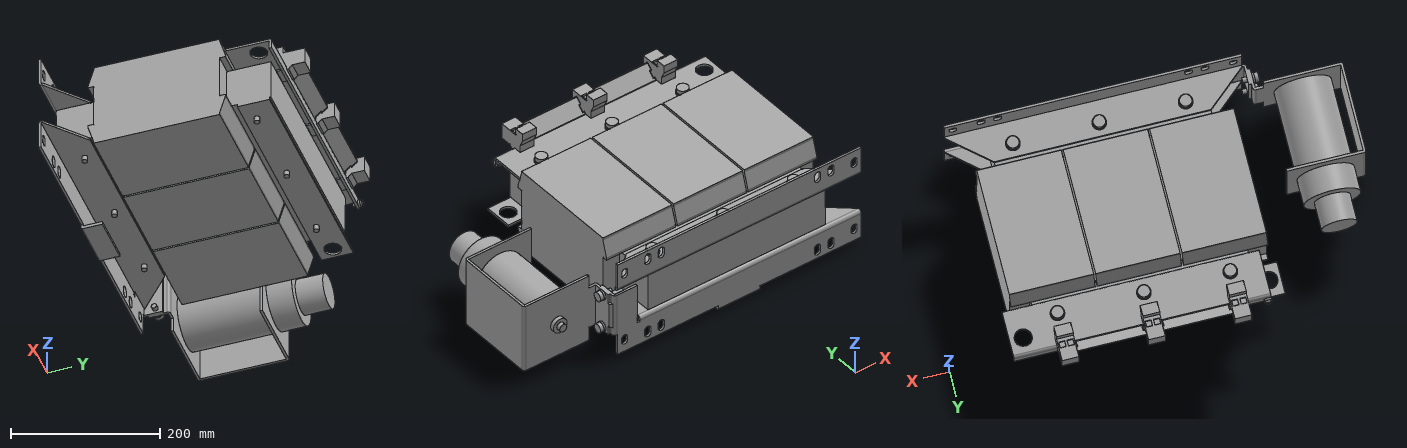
import cadquery as cq


mid_x = 337.0
core_length = 300.0
core_half = 31.0
core_front = 5.5
core_depth = 305.5
yoke_depth = 63.0
window_front = core_front + yoke_depth
window_back = core_front + core_depth - yoke_depth
coil_pitch = 119.5
coil_width = 117.0
coil_half = 66.5
coil_overhang = 8.0
coil_overhang_z = 33.0
coil_lip = 3.0

sheet = 4.0
bend = 5.5
plate_top = core_half + sheet
clamp_left = 131.5
clamp_right = 543.5
clamp_top = 77.0
clamp_bottom = -77.0
clamp_depth = 54.0

arm_width = 33.0
arm_top = 25.5
arm_bottom = -43.0
flange_x = 125.0
flange_depth = 30.0
relief_width = 5.0
relief_depth = 7.5

end_slot_inset = 12.0
end_slot_z = 57.0
end_slot_size = (15.0, 10.0)
inner_slot_offsets = (132.0, 155.0)
inner_slot_z = 62.5
inner_slot_size = (17.5, 10.5)

foot_width = 70.5
foot_depth = 30.5
foot_bottom = -84.0
foot_sheet = 5.0

rear_left = 172.5
rear_right = 528.5
rear_front = 260.5
rear_back = 326.5
rear_sheet = 4.0
lip_bottom = 18.5
lift_hole_radius = 12.0
lift_hole = (509.0, 301.5)
ear_left = 148.5
ear_front = 263.0
ear_back = 308.5
ear_hole = (165.0, 285.5)

front_bolt_y = 35.5
rear_bolt_y = 280.5
washer_radius = 10.0
washer_height = 2.5
head_radius = 8.5
head_height = 6.5
stud_radius = 4.0
stud_length = 7.5

bracket_sheet = 4.0
bracket_front = 35.5
bracket_back = 166.0
bracket_right = 110.5
bracket_top = 46.0
bracket_bottom = -64.5
tab_x = 121.0
tab_front = 8.0
tongue_top = 11.0
tongue_bottom = -29.0
cap_x = 56.5
cap_z = (bracket_top + bracket_bottom) / 2
cap_radius = 39.5
cap_back = 202.0
neck_radius = 25.0
neck_back = 241.5
cap_nut_radius = 11.5
cap_nut_height = 6.5
cap_stud_radius = 6.0
cap_stud_length = 13.0

tab_screw_y = 20.0
tab_screw_zs = (18.5, -36.0)
tab_screw_washer = (7.5, 2.5)
tab_screw_head = (7.0, 8.5)
tab_screw_shank = (4.0, 6.5)
earth_screw_x = 177.0
earth_screw_z = 24.0
earth_screw_washer = (5.5, 2.5)
earth_screw_head = (4.5, 5.5)
earth_screw_stud = (2.0, 7.0)
earth_screw_shank = (2.5, 5.0)

terminal_width = 23.5
terminal_back = 353.0
terminal_step = 322.0
terminal_front = 306.5
terminal_foot = 312.0
terminal_top = 69.5
shelf_z = 58.5
undercut_top = 57.5
undercut_bottom = 46.0
foot_z = 28.0
hook_back = 329.5
hook_slope = 5.5
pocket_size = 8.0
pocket_spacing = 11.5
pocket_y = 330.5
pocket_depth = 3.0
strip_back = 343.0
strip_top = 53.0
strip_sheet = 1.5
notch_width = 2.5
notch_length = 8.0


def box(x, y, z):
    """Box between the given (low, high) limits on each axis."""
    size = (x[1] - x[0], y[1] - y[0], z[1] - z[0])
    return cq.Workplane("XY").box(*size, centered=False).translate((x[0], y[0], z[0]))


def rod(start, direction, radius, length):
    """Cylinder from a start point along a direction."""
    return cq.Workplane(cq.Solid.makeCylinder(radius, length, cq.Vector(*start), cq.Vector(*direction)))


def profile_along_x(points, x):
    """Prism with a Y-Z outline between two X limits."""
    return cq.Workplane("YZ").polyline(points).close().extrude(x[1] - x[0]).translate((x[0], 0, 0))


def profile_along_z(points, z):
    """Prism with an X-Y outline between two Z limits."""
    return cq.Workplane("XY").polyline(points).close().extrude(z[1] - z[0]).translate((0, 0, z[0]))


def core():
    """Front and rear yokes; the legs between them are enclosed by the coils."""
    x = (mid_x - core_length / 2, mid_x + core_length / 2)
    z = (-core_half, core_half)
    front = box(x, (core_front, window_front), z)
    return front.union(box(x, (window_back, core_front + core_depth), z))


def coil(center):
    """Coil that fills the window depth and overhangs both yokes above and below the core."""
    upper = [
        (window_front, coil_overhang_z),
        (window_front - coil_overhang, coil_overhang_z),
        (window_front - coil_overhang, coil_overhang_z + coil_lip),
        (window_front, coil_half - coil_lip),
        (window_front, coil_half),
        (window_back, coil_half),
        (window_back, coil_half - coil_lip),
        (window_back + coil_overhang, coil_overhang_z + coil_lip),
        (window_back + coil_overhang, coil_overhang_z),
        (window_back, coil_overhang_z),
    ]
    lower = [(y, -z) for y, z in reversed(upper)]
    return profile_along_x(upper + lower, (center - coil_width / 2, center + coil_width / 2))


def clamp_shelf():
    """Trapezoidal leg of a front clamp, lying on top of the core."""
    half_back = core_length / 2
    outline = [
        (clamp_left, 0),
        (clamp_right, 0),
        (clamp_right, bend),
        (mid_x + half_back, clamp_depth),
        (mid_x - half_back, clamp_depth),
        (clamp_left, bend),
    ]
    return profile_along_z(outline, (core_half, plate_top))


def mounting_slots(sign):
    """Cutters for the upright slots of one front clamp."""
    middle = (clamp_left + clamp_right) / 2
    end_offset = (clamp_right - clamp_left) / 2 - end_slot_inset
    rows = [([end_offset], end_slot_z, end_slot_size), (inner_slot_offsets, inner_slot_z, inner_slot_size)]
    cutters = cq.Workplane("XZ")
    for offsets, z, size in rows:
        points = [(middle + side * offset, sign * z) for side in (-1, 1) for offset in offsets]
        slots = cq.Workplane("XZ").pushPoints(points).slot2D(*size, 90).extrude(-2 * sheet)
        cutters = cutters.add(slots.translate((0, -sheet / 2, 0)))
    return cutters.combine()


def upper_clamp():
    """Angle with its mounting face standing up at the front."""
    body = box((clamp_left, clamp_right), (0, sheet), (core_half, clamp_top)).union(clamp_shelf())
    body = body.edges(cq.selectors.NearestToPointSelector((mid_x, 0, core_half))).fillet(bend)
    return body.cut(mounting_slots(1))


def lower_clamp():
    """Mirrored front clamp with a foot and an arm for the capacitor bracket."""
    shelf = clamp_shelf().mirror("XY")
    body = box((clamp_left, clamp_right), (0, sheet), (clamp_bottom, -core_half)).union(shelf)
    body = body.edges(cq.selectors.NearestToPointSelector((mid_x, 0, -core_half))).fillet(bend)
    arm_right = clamp_left + arm_width
    relief_bottom = -core_half - relief_depth
    body = body.cut(box((clamp_left, arm_right + relief_width), (0, bend), (relief_bottom, -core_half)))

    arm = box((flange_x, arm_right), (0, sheet), (arm_bottom, arm_top))
    arm = arm.union(box((flange_x, flange_x + sheet), (0, flange_depth), (arm_bottom, arm_top)))
    arm = arm.edges(cq.selectors.NearestToPointSelector((flange_x, 0, 0))).fillet(bend)
    body = body.union(arm).cut(mounting_slots(-1))
    return body.union(foot())


def foot():
    """Narrow ledge folded back from the bottom edge of the lower clamp."""
    x = (mid_x - foot_width / 2, mid_x + foot_width / 2)
    body = box(x, (0, foot_depth), (foot_bottom, foot_bottom + foot_sheet))
    body = body.union(box(x, (0, sheet), (foot_bottom, clamp_bottom)))
    return body.edges(cq.selectors.NearestToPointSelector((mid_x, 0, foot_bottom))).fillet(foot_sheet / 2)


def rear_clamp():
    """Upper rear angle with a lifting hole and a downward lip along its back edge."""
    x = (rear_left, rear_right)
    top = core_half + rear_sheet
    body = box(x, (rear_front, rear_back), (core_half, top))
    body = body.union(box(x, (rear_back - rear_sheet, rear_back), (lip_bottom, top)))
    body = body.edges(cq.selectors.NearestToPointSelector((mid_x, rear_back, top))).fillet(rear_sheet)
    return body.cut(rod((*lift_hole, core_half), (0, 0, 1), lift_hole_radius, rear_sheet))


def rear_ear_plate():
    """Plate under the rear yoke, reaching out at the left as a lifting ear."""
    x = (ear_left, mid_x + core_length / 2)
    bottom = -core_half - rear_sheet
    body = box(x, (ear_front, ear_back), (bottom, -core_half))
    return body.cut(rod((*ear_hole, bottom), (0, 0, 1), lift_hole_radius, rear_sheet))


def clamp_bolt(x, y, thickness):
    """Bolt through a yoke and the clamp plates above and below it."""
    seat = core_half + thickness
    washer = rod((x, y, seat), (0, 0, 1), washer_radius, washer_height)
    head = rod((x, y, seat + washer_height), (0, 0, 1), head_radius, head_height)
    stud = rod((x, y, -seat), (0, 0, -1), stud_radius, stud_length)
    return [washer, head, stud]


def capacitor_bracket():
    """U-shaped bracket whose front wall narrows to a tab screwed to the clamp flange."""
    z = (bracket_bottom, bracket_top)
    y = (bracket_front, bracket_back)
    body = box((0, bracket_right), y, z)
    inside_y = (bracket_front + bracket_sheet, bracket_back - bracket_sheet)
    body = body.edges("|Z and <X").fillet(bracket_sheet)
    body = body.cut(box((bracket_sheet, bracket_right), inside_y, z))

    tab_z = (arm_bottom, arm_top)
    inner_y = bracket_front + bracket_sheet
    tab = box((bracket_right, flange_x), (bracket_front, inner_y), tab_z)
    tab = tab.union(box((tab_x, flange_x), (tab_front, inner_y), tab_z))
    tab = tab.edges(cq.selectors.NearestToPointSelector((flange_x, inner_y, 0))).fillet(bracket_sheet)

    tongue_outline = [
        (tab_x, tab_front),
        (tab_x, bend),
        (flange_x, bend - (flange_x - tab_x)),
        (flange_x + sheet, bend),
        (flange_x, tab_front),
    ]
    return body.union(tab).union(profile_along_z(tongue_outline, (tongue_bottom, tongue_top)))


def capacitor():
    """Can with a narrower neck, held by a nut on a stud through the bracket."""
    seat = bracket_front + bracket_sheet
    can = rod((cap_x, seat, cap_z), (0, 1, 0), cap_radius, cap_back - seat)
    neck = rod((cap_x, cap_back, cap_z), (0, 1, 0), neck_radius, neck_back - cap_back)
    nut = rod((cap_x, bracket_front, cap_z), (0, -1, 0), cap_nut_radius, cap_nut_height)
    stud = rod((cap_x, bracket_front, cap_z), (0, -1, 0), cap_stud_radius, cap_stud_length)
    return [can, neck, nut, stud]


def small_screws():
    """Screws joining the bracket to the clamp, and the earthing screw on the rear lip."""
    parts = []
    for z in tab_screw_zs:
        for size in (tab_screw_washer, tab_screw_head):
            parts.append(rod((tab_x, tab_screw_y, z), (-1, 0, 0), *size))
        parts.append(rod((flange_x + sheet, tab_screw_y, z), (1, 0, 0), *tab_screw_shank))
    lip_front = rear_back - rear_sheet
    for size in (earth_screw_washer, earth_screw_head, earth_screw_stud):
        parts.append(rod((earth_screw_x, rear_back, earth_screw_z), (0, 1, 0), *size))
    parts.append(rod((earth_screw_x, lip_front, earth_screw_z), (0, -1, 0), *earth_screw_shank))
    return parts


def terminal(center):
    """Stepped terminal block clipped over the rear clamp, with two square screw pockets."""
    outline = [
        (terminal_back, shelf_z),
        (terminal_step, shelf_z),
        (terminal_step, terminal_top),
        (terminal_front, terminal_top),
        (terminal_front, undercut_top),
        (terminal_foot, undercut_bottom),
        (terminal_foot, foot_z),
        (hook_back, foot_z),
        (hook_back + hook_slope, foot_z + hook_slope),
        (terminal_back, foot_z + hook_slope),
    ]
    body = profile_along_x(outline, (center - terminal_width / 2, center + terminal_width / 2))
    pockets = (
        cq.Workplane("XY", origin=(center, pocket_y, shelf_z))
        .rarray(pocket_spacing, 5.5, 2, 1)
        .rect(pocket_size, pocket_size)
        .extrude(-pocket_depth)
    )
    return body.cut(pockets)


def terminal_strip(left, right):
    """Sloping strip between neighbouring terminals, notched at both ends."""
    low_y = rear_back - rear_sheet
    low_z = core_half + rear_sheet
    outline = [
        (low_y, low_z),
        (strip_back, strip_top),
        (strip_back, strip_top - strip_sheet),
        (low_y, low_z - strip_sheet),
    ]
    body = profile_along_x(outline, (left, right))
    notch_y = (pocket_y - notch_length / 2, pocket_y + notch_length / 2)
    for x in ((left, left + notch_width), (right - notch_width, right)):
        body = body.cut(box(x, notch_y, (low_z - strip_sheet, strip_top)))
    return body


centers = [mid_x + i * coil_pitch for i in (-1, 0, 1)]
parts = [coil(center) for center in centers]
parts += [upper_clamp(), lower_clamp(), rear_clamp(), rear_ear_plate()]
for center in centers:
    parts += clamp_bolt(center, front_bolt_y, sheet)
    parts += clamp_bolt(center, rear_bolt_y, rear_sheet)
    parts.append(terminal(center))
for left, right in zip(centers, centers[1:]):
    parts.append(terminal_strip(left + terminal_width / 2, right - terminal_width / 2))
parts.append(capacitor_bracket())
parts += capacitor()
parts += small_screws()

result = core()
for part in parts:
    result = result.union(part)